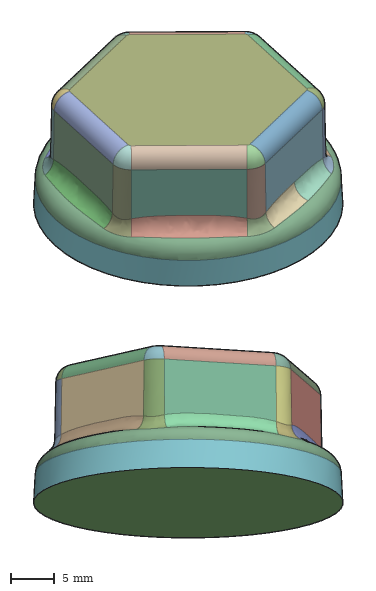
import cadquery as cq
import math

flange_diameter = 35.35
total_height = 15.3

flange_height = 5.25
flange_draft = 3.0

head_sides = 6
head_base_flats = 28.15
head_base_corner_radius = 2.6
head_draft = 1.0

edge_radius = 2.0

seam_margin = 0.53


def make_flange():
    """Drafted disc with a rounded upper rim."""
    disc = cq.Workplane("XY").circle(flange_diameter / 2).extrude(flange_height, taper=flange_draft)
    return disc.faces(">Z").edges().fillet(edge_radius)


def make_head():
    """Drafted hexagonal prism, full height, with rounded corners and top edges."""
    circumradius = head_base_flats / 2 / math.cos(math.pi / head_sides)
    outline = (
        cq.Sketch()
        .regularPolygon(circumradius, head_sides)
        .vertices()
        .fillet(head_base_corner_radius)
    )
    prism = cq.Workplane("XY").placeSketch(outline).extrude(total_height, taper=head_draft)
    return prism.faces(">Z").edges().fillet(edge_radius)


def blend_foot(body):
    """Round the inside corner where the head rises from the flange."""
    reach = flange_diameter
    seam_zone = cq.selectors.BoxSelector(
        (-reach, -reach, flange_height - seam_margin),
        (reach, reach, flange_height + seam_margin),
    )
    return body.edges(seam_zone).fillet(edge_radius)


result = blend_foot(make_flange().union(make_head()))